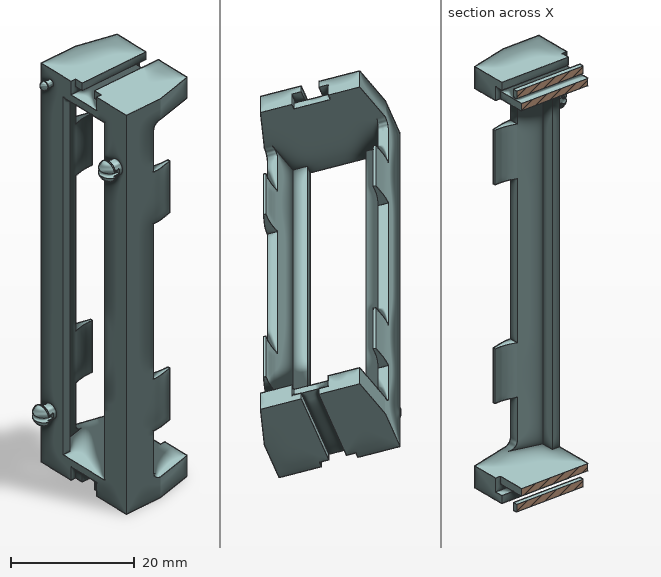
import cadquery as cq
import math

width = 20.65
height = 77.05
depth = 14.8
half_width = width / 2
half_height = height / 2

arm_thickness = 4.0
arm_taper_start = 7.4
arm_taper_inset = 1.85
arm_fillet = 1.5

rail_depth = 5.9
window_width = 10.0
lip_depth = 1.5
cavity_half_width = 8.55
wall_slope = 0.25

slot_width = 3.0
slot_wide_width = 6.2
slot_lip = 1.45
slot_depth = 2.6
lip_setback = 1.0
floor_setback = 1.0

clip_height = 10.0
clip_spacing = 40.0
clip_root_y = 6.1
clip_ridge_y = 8.6
clip_tip_y = 10.05
clip_ridge_outer_x = 9.95
clip_inner_x = 9.15
clip_bulge = 0.09

peg_x = 8.0
peg_z = half_height - 11.0
peg_stem_radius = 1.4
peg_head_radius = 1.85
peg_collar_start = 1.8
peg_collar_end = 2.05
peg_dome_height = 1.35
peg_split = 0.9
peg_split_start = 0.65

pin_x = -8.0
pin_z = half_height - 2.7
pin_stem_radius = 0.65
pin_head_radius = 0.8
pin_collar_start = 1.2
pin_collar_end = 1.35
pin_dome_height = 0.75

embed = 0.5


def box_between(x_range, y_range, z_range):
    """Box spanning the given (low, high) ranges."""
    size = [high - low for low, high in (x_range, y_range, z_range)]
    corner = cq.Vector(x_range[0], y_range[0], z_range[0])
    return cq.Workplane(cq.Solid.makeBox(*size, corner))


def make_frame():
    """Full tapered block, hollowed to two side rails and two end arms."""
    back_half_width = half_width - arm_taper_inset
    block = (
        cq.Workplane("XY", origin=(0, 0, -half_height))
        .polyline([
            (-half_width, 0),
            (half_width, 0),
            (half_width, arm_taper_start),
            (back_half_width, depth),
            (-back_half_width, depth),
            (-half_width, arm_taper_start),
        ])
        .close()
        .extrude(height)
    )
    inner_height = height - 2 * arm_thickness

    rear_gap = (
        box_between(
            (-half_width, half_width),
            (rail_depth, depth + arm_fillet),
            (-inner_height / 2, inner_height / 2),
        )
        .edges("|X and <Y")
        .fillet(arm_fillet)
    )

    window = box_between(
        (-window_width / 2, window_width / 2),
        (0, lip_depth),
        (-inner_height / 2, inner_height / 2),
    )

    cavity_end = rail_depth + arm_fillet
    cavity_front_half = cavity_half_width - wall_slope * (rail_depth - lip_depth)
    cavity_rear_half = cavity_half_width + wall_slope * arm_fillet
    cavity = (
        cq.Workplane("XY", origin=(0, 0, -inner_height / 2))
        .polyline([
            (-cavity_front_half, lip_depth),
            (cavity_front_half, lip_depth),
            (cavity_rear_half, cavity_end),
            (-cavity_rear_half, cavity_end),
        ])
        .close()
        .extrude(inner_height)
    )
    return block.cut(rear_gap).cut(window).cut(cavity)


def make_end_slot():
    """Cutter for the T-slot in the upper arm."""
    narrow = (-slot_width / 2, slot_width / 2)
    wide = (-slot_wide_width / 2, slot_wide_width / 2)
    floor_z = half_height - slot_depth
    lip_z = half_height - slot_lip
    mouth = box_between(narrow, (0, depth), (floor_z, half_height))
    channel = box_between(wide, (0, depth), (floor_z, lip_z))
    front_notch = box_between(wide, (0, lip_setback), (floor_z, half_height))
    floor_notch = box_between(wide, (depth - floor_setback, depth), (half_height - arm_thickness, lip_z))
    return mouth.union(channel).union(front_notch).union(floor_notch)


def bowed_point(start, end, bow):
    """Midpoint of a chord, shifted in X by the given bow."""
    return ((start[0] + end[0]) / 2 + bow, (start[1] + end[1]) / 2)


def make_clip(center_z):
    """Curved clip on the +X rail, thinning to a bevelled tip."""
    root_outer = (half_width, clip_root_y)
    ridge_outer = (clip_ridge_outer_x, clip_ridge_y)
    ridge_inner = (clip_inner_x, clip_ridge_y)
    root_inner = (cavity_half_width, rail_depth)
    tip_outer_x = clip_ridge_outer_x - wall_slope * (clip_tip_y - clip_ridge_y)
    return (
        cq.Workplane("XY", origin=(0, 0, center_z - clip_height / 2))
        .moveTo(half_width, rail_depth - embed)
        .lineTo(*root_outer)
        .threePointArc(bowed_point(root_outer, ridge_outer, clip_bulge), ridge_outer)
        .lineTo(tip_outer_x, clip_tip_y)
        .lineTo(clip_inner_x, clip_tip_y)
        .lineTo(*ridge_inner)
        .threePointArc(bowed_point(ridge_inner, root_inner, clip_bulge), root_inner)
        .lineTo(cavity_half_width, rail_depth - embed)
        .close()
        .extrude(clip_height)
    )


def make_domed_post(stem_radius, head_radius, collar_start, collar_end, dome_height):
    """Post standing out along -Y with a collared, domed head."""
    dome_radius = (head_radius**2 + dome_height**2) / (2 * dome_height)
    tip_y = -(collar_end + dome_height)
    mid_angle = math.atan2(head_radius, dome_radius - dome_height) / 2
    dome_middle = (
        dome_radius * math.sin(mid_angle),
        tip_y + dome_radius * (1 - math.cos(mid_angle)),
    )
    return (
        cq.Workplane("XY")
        .moveTo(0, embed)
        .lineTo(stem_radius, embed)
        .lineTo(stem_radius, -collar_start)
        .lineTo(head_radius, -collar_start)
        .lineTo(head_radius, -collar_end)
        .threePointArc(dome_middle, (0, tip_y))
        .close()
        .revolve(360, (0, 0), (0, 1))
    )


def make_peg():
    """Domed snap peg, split along X."""
    post = make_domed_post(
        peg_stem_radius, peg_head_radius, peg_collar_start, peg_collar_end, peg_dome_height
    )
    split = box_between(
        (-peg_head_radius, peg_head_radius),
        (-(peg_collar_end + peg_dome_height), -peg_split_start),
        (-peg_split / 2, peg_split / 2),
    )
    return post.cut(split)


result = make_frame()

end_slot = make_end_slot()
result = result.cut(end_slot).cut(end_slot.mirror("XY"))

for clip_z in (-clip_spacing / 2, clip_spacing / 2):
    clip = make_clip(clip_z)
    result = result.union(clip).union(clip.mirror("YZ"))

peg = make_peg()
for side in (-1, 1):
    result = result.union(peg.translate((side * peg_x, 0, side * peg_z)))

pin = make_domed_post(
    pin_stem_radius, pin_head_radius, pin_collar_start, pin_collar_end, pin_dome_height
)
result = result.union(pin.translate((pin_x, 0, pin_z)))